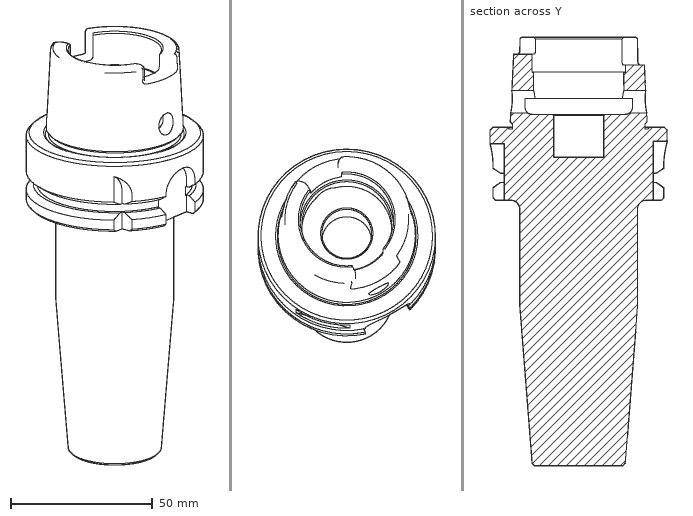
import cadquery as cq
import math

length = 152.0
flange_top = 120.1
flange_bottom = 94.1
nose_cone_top = 57.2

nose_radius = 16.5
nose_chamfer = 0.9
neck_radius = 21.0
neck_fillet = 3.0

flange_radius = 31.5
flange_top_chamfer = 1.0
flange_bottom_chamfer = 0.9
groove_radius = 27.5
groove_mouth_radius = 28.9
groove_top = 103.7
groove_bottom = 100.5
groove_cone_height = 1.8

shank_base_radius = 24.3
shank_top_radius = 22.8
rim_fillet = 0.9
shank_base = 121.9
relief_radius = 23.5
relief_outer_radius = 25.2
relief_depth = 0.6

throat_radius = 16.0
bore_mouth_radius = 16.5
bore_mouth_chamfer = 0.6
bore_mouth_depth = 12.5
undercut_radius = 19.5
undercut_depth = 21.7
undercut_fillet = 3.0
bore_depth = 27.4
inner_hole_radius = 8.8
inner_hole_chamfer = 0.5
inner_hole_depth = 15.2

cross_hole_radius = 4.0
cross_hole_height = 129.0

key_half_width = 6.2
key_corner_radius = 4.0
key_corner_reach = 21.0
key_floor_fillet = 1.2
key_floor_left = 142.1
key_floor_right = 145.9

keyway_floor = 26.5
keyway_centre_height = 106.1
keyway_radius_left = 9.0
keyway_radius_right = 8.0

label_length = 20.0
label_height = 6.0
label_centre_height = 113.0
label_floor = math.sqrt(flange_radius**2 - (label_length / 2) ** 2)
label_angle = 135.0

notch_floor = 19.9
notch_wall = -19.8
notch_radius = 8.0
notch_centre_height = 107.9

clearance = 7.6

diagonal = math.sqrt(0.5)


def holder_body():
    """Solid of revolution: nose cone, neck, grooved flange and taper shank."""
    fillet_offset = neck_fillet * (1 - diagonal)
    profile = (
        cq.Workplane("XZ")
        .moveTo(0, 0)
        .lineTo(nose_radius - nose_chamfer, 0)
        .lineTo(nose_radius, nose_chamfer)
        .lineTo(neck_radius, nose_cone_top)
        .lineTo(neck_radius, flange_bottom - neck_fillet)
        .threePointArc(
            (neck_radius + fillet_offset, flange_bottom - fillet_offset),
            (neck_radius + neck_fillet, flange_bottom),
        )
        .lineTo(flange_radius - flange_bottom_chamfer, flange_bottom)
        .lineTo(flange_radius, flange_bottom + flange_bottom_chamfer)
        .lineTo(flange_radius, groove_bottom - groove_cone_height)
        .lineTo(groove_mouth_radius, groove_bottom)
        .lineTo(groove_radius, groove_bottom)
        .lineTo(groove_radius, groove_top)
        .lineTo(groove_mouth_radius, groove_top)
        .lineTo(flange_radius, groove_top + groove_cone_height)
        .lineTo(flange_radius, flange_top - flange_top_chamfer)
        .lineTo(flange_radius - flange_top_chamfer, flange_top)
        .lineTo(relief_outer_radius, flange_top)
        .lineTo(relief_outer_radius - relief_depth, flange_top - relief_depth)
        .lineTo(relief_radius, flange_top - relief_depth)
        .lineTo(relief_radius, shank_base - (shank_base_radius - relief_radius))
        .lineTo(shank_base_radius, shank_base)
        .lineTo(shank_top_radius, length)
        .lineTo(0, length)
        .close()
    )
    return profile.revolve(360, (0, 0, 0), (0, 1, 0))


def stepped_bore():
    """Chamfered mouth, narrower throat, round-cornered undercut and a blind inner hole."""
    mouth_step = length - bore_mouth_depth
    undercut_top = length - undercut_depth
    fillet_offset = undercut_fillet * (1 - diagonal)
    bore_floor = length - bore_depth
    profile = (
        cq.Workplane("XZ")
        .moveTo(0, length)
        .lineTo(bore_mouth_radius + bore_mouth_chamfer, length)
        .lineTo(bore_mouth_radius, length - bore_mouth_chamfer)
        .lineTo(bore_mouth_radius, mouth_step)
        .lineTo(throat_radius, mouth_step)
        .lineTo(throat_radius, undercut_top)
        .lineTo(undercut_radius, undercut_top)
        .lineTo(undercut_radius, bore_floor + undercut_fillet)
        .threePointArc(
            (undercut_radius - fillet_offset, bore_floor + fillet_offset),
            (undercut_radius - undercut_fillet, bore_floor),
        )
        .lineTo(inner_hole_radius + inner_hole_chamfer, bore_floor)
        .lineTo(inner_hole_radius, bore_floor - inner_hole_chamfer)
        .lineTo(inner_hole_radius, bore_floor - inner_hole_depth)
        .lineTo(0, bore_floor - inner_hole_depth)
        .close()
    )
    return profile.revolve(360, (0, 0, 0), (0, 1, 0))


def cross_hole():
    span = 2 * flange_radius
    return (
        cq.Workplane("YZ", origin=(-span / 2, 0, 0))
        .center(0, cross_hole_height)
        .circle(cross_hole_radius)
        .extrude(span)
    )


def drive_notch(direction, floor_height):
    """Radial notch whose mouth flares with rounded corners; direction is +1 or -1 along X."""
    arc_start = key_corner_reach - key_corner_radius
    arc_middle = key_corner_radius * diagonal
    flare_half_width = key_half_width + key_corner_radius
    outer = flange_radius
    cutter = (
        cq.Workplane("XY", origin=(0, 0, floor_height))
        .moveTo(0, -key_half_width)
        .lineTo(direction * arc_start, -key_half_width)
        .threePointArc(
            (direction * (arc_start + arc_middle), arc_middle - flare_half_width),
            (direction * key_corner_reach, -flare_half_width),
        )
        .lineTo(direction * key_corner_reach, -outer)
        .lineTo(direction * outer, -outer)
        .lineTo(direction * outer, outer)
        .lineTo(direction * key_corner_reach, outer)
        .lineTo(direction * key_corner_reach, flare_half_width)
        .threePointArc(
            (direction * (arc_start + arc_middle), flare_half_width - arc_middle),
            (direction * arc_start, key_half_width),
        )
        .lineTo(0, key_half_width)
        .close()
        .extrude(length - floor_height + clearance)
    )
    return cutter.faces("<Z").edges().fillet(key_floor_fillet)


def flange_keyway(direction, radius):
    """Round-topped keyway with a flat floor, open at the bottom of the flange."""
    return (
        cq.Workplane("YZ", origin=(direction * keyway_floor, 0, 0))
        .moveTo(-radius, flange_bottom)
        .lineTo(radius, flange_bottom)
        .lineTo(radius, keyway_centre_height)
        .threePointArc((0, keyway_centre_height + radius), (-radius, keyway_centre_height))
        .close()
        .extrude(direction * clearance)
    )


def label_pocket():
    return (
        cq.Workplane("XY")
        .box(clearance, label_length, label_height, centered=(False, True, True))
        .translate((label_floor, 0, label_centre_height))
        .rotate((0, 0, 0), (0, 0, 1), label_angle)
    )


def corner_notch():
    """Notch with a floor facing +X and a wall facing -Y that rounds over at its top."""
    centre_y = notch_wall - notch_radius
    return (
        cq.Workplane("YZ", origin=(notch_floor, 0, 0))
        .moveTo(centre_y - notch_radius, flange_bottom)
        .lineTo(notch_wall, flange_bottom)
        .lineTo(notch_wall, notch_centre_height)
        .threePointArc(
            (centre_y, notch_centre_height + notch_radius),
            (centre_y - notch_radius, notch_centre_height),
        )
        .close()
        .extrude(flange_radius - notch_floor)
    )


shank = holder_body().cut(drive_notch(-1, key_floor_left)).cut(drive_notch(1, key_floor_right))
shank = shank.faces(">Z").edges().fillet(rim_fillet)

result = (
    shank.cut(stepped_bore())
    .cut(cross_hole())
    .cut(flange_keyway(-1, keyway_radius_left))
    .cut(flange_keyway(1, keyway_radius_right))
    .cut(label_pocket())
    .cut(corner_notch())
)